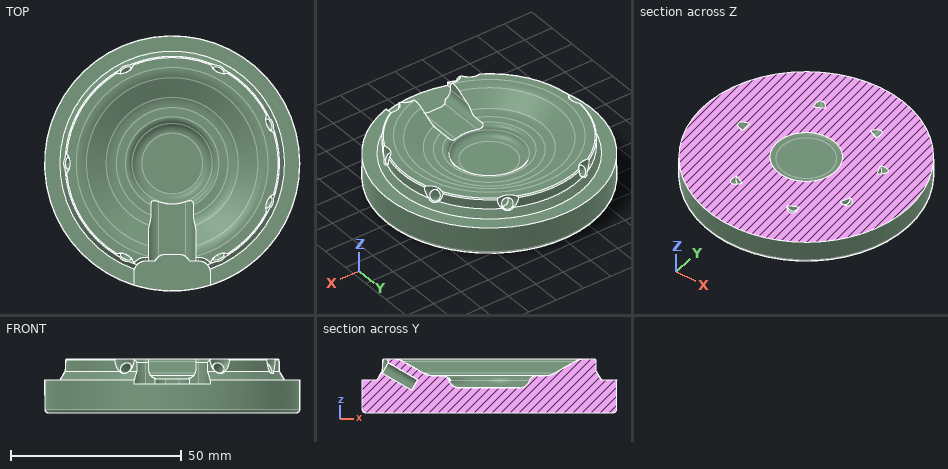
import cadquery as cq
import math

BASE_RADIUS = 37.5
BASE_HEIGHT = 9.75
BASE_EDGE_ROUND = 1.1

TOTAL_HEIGHT = 16.0
FOOT_RADIUS = 33.0
RING_RADIUS = 31.5
FOOT_TOP = 12.3
RING_CHAMFER = 0.4

BOWL_RADIUS = 28.2
BOWL_FLOOR_RADIUS = 16.4
BOWL_ROUND = 6.0
BOWL_SLOPE = math.radians(30)

POCKET_RADIUS = 13.7
POCKET_FLOOR_RADIUS = 8.9
POCKET_LIP_ROUND = 2.0
POCKET_FLOOR_ROUND = 3.0

NOTCH_HALF_WIDTH = 11.25
NOTCH_BACK = 28.65
NOTCH_FLOOR = 8.6
NOTCH_CORNER = 3.45
NOTCH_CHAMFER = 1.05
CHAMFER_ANGLE = 45.0
RECESS_HALF_WIDTH = 5.4
RECESS_BACK = 26.7
CHANNEL_HALF_WIDTH = 7.0
CHANNEL_FLOOR = 10.0
CHANNEL_ROUND = 3.0

HOLE_ANGLES = (-116.5, -63.5, -22, 22, 63.5, 116.5, 180)
HOLE_RADIUS = 1.7
HOLE_DEPTH = 10.0
HOLE_TILT = 30.0
HOLE_CENTRE_RADIUS = 30.5
HOLE_CENTRE_HEIGHT = 13.3
SINK_LENGTH = 4.5
SINK_HALF_ANGLE = math.radians(45)


def make_body():
    """Disc and ring as one turned solid."""
    profile = (
        cq.Workplane("XZ")
        .lineTo(BASE_RADIUS, 0)
        .lineTo(BASE_RADIUS, BASE_HEIGHT)
        .lineTo(FOOT_RADIUS, BASE_HEIGHT)
        .lineTo(RING_RADIUS, FOOT_TOP)
        .lineTo(RING_RADIUS, TOTAL_HEIGHT - RING_CHAMFER)
        .lineTo(RING_RADIUS - RING_CHAMFER, TOTAL_HEIGHT)
        .lineTo(0, TOTAL_HEIGHT)
        .close()
    )
    body = profile.revolve(360, (0, 0), (0, 1))
    return body.faces("<Z").edges().fillet(BASE_EDGE_ROUND)


def arc_point(centre, radius, angle):
    """Point on a circle, with the angle measured from straight up."""
    return (centre[0] + radius * math.sin(angle), centre[1] + radius * math.cos(angle))


def make_bowl():
    """Turned cutter for the bowl and the round pocket below it."""
    tangent = BOWL_ROUND * math.tan(BOWL_SLOPE / 2)
    cone_run = BOWL_RADIUS - BOWL_FLOOR_RADIUS - 2 * tangent
    floor = TOTAL_HEIGHT - cone_run * math.tan(BOWL_SLOPE)
    rim = (BOWL_RADIUS, TOTAL_HEIGHT - BOWL_ROUND)
    heel = (BOWL_FLOOR_RADIUS, floor + BOWL_ROUND)

    round_sum = POCKET_LIP_ROUND + POCKET_FLOOR_ROUND
    steepest = math.asin((POCKET_RADIUS - POCKET_FLOOR_RADIUS) / round_sum)
    pocket_floor = floor - round_sum * (1 - math.cos(steepest))
    lip = (POCKET_RADIUS, floor - POCKET_LIP_ROUND)
    toe = (POCKET_FLOOR_RADIUS, pocket_floor + POCKET_FLOOR_ROUND)

    profile = (
        cq.Workplane("XZ")
        .moveTo(0, pocket_floor)
        .lineTo(POCKET_FLOOR_RADIUS, pocket_floor)
        .threePointArc(
            arc_point(toe, POCKET_FLOOR_ROUND, math.pi - steepest / 2),
            arc_point(toe, POCKET_FLOOR_ROUND, math.pi - steepest),
        )
        .threePointArc(
            arc_point(lip, POCKET_LIP_ROUND, -steepest / 2),
            (POCKET_RADIUS, floor),
        )
        .lineTo(BOWL_FLOOR_RADIUS, floor)
        .threePointArc(
            arc_point(heel, BOWL_ROUND, math.pi - BOWL_SLOPE / 2),
            arc_point(heel, BOWL_ROUND, math.pi - BOWL_SLOPE),
        )
        .lineTo(*arc_point(rim, BOWL_ROUND, -BOWL_SLOPE))
        .threePointArc(
            arc_point(rim, BOWL_ROUND, -BOWL_SLOPE / 2),
            (BOWL_RADIUS, TOTAL_HEIGHT),
        )
        .lineTo(0, TOTAL_HEIGHT)
        .close()
    )
    return profile.revolve(360, (0, 0), (0, 1))


def make_opening(half_width, back):
    """Block reaching out to the -Y rim, with its two inner vertical corners rounded."""
    length = BASE_RADIUS - back
    return (
        cq.Workplane("XY", origin=(0, -back - length / 2, NOTCH_FLOOR))
        .rect(2 * half_width, length)
        .extrude(TOTAL_HEIGHT - NOTCH_FLOOR)
        .edges("|Z and >Y")
        .fillet(NOTCH_CORNER)
    )


def make_notch():
    """Notch with chamfered top edges and a narrower recess behind it."""
    notch = make_opening(NOTCH_HALF_WIDTH, NOTCH_BACK)
    wall_top = TOTAL_HEIGHT - NOTCH_CHAMFER
    flare = (
        cq.Workplane("XY", origin=(0, 0, wall_top))
        .add(notch.faces("<Z").wires().translate((0, 0, wall_top - NOTCH_FLOOR)))
        .toPending()
        .extrude(NOTCH_CHAMFER, taper=-CHAMFER_ANGLE)
    )
    recess = make_opening(RECESS_HALF_WIDTH, RECESS_BACK)
    return notch.union(recess).union(flare)


def make_channel():
    """Round-bottomed channel running from the middle of the part to the notch."""
    return (
        cq.Workplane("XY", origin=(0, -NOTCH_BACK / 2, CHANNEL_FLOOR))
        .rect(2 * CHANNEL_HALF_WIDTH, NOTCH_BACK)
        .extrude(TOTAL_HEIGHT - CHANNEL_FLOOR)
        .edges("|Y and <Z")
        .fillet(CHANNEL_ROUND)
    )


def make_hole(angle):
    """Blind hole with a conical mouth, pointing inward and down."""
    mouth_radius = HOLE_RADIUS + SINK_LENGTH * math.tan(SINK_HALF_ANGLE)
    profile = (
        cq.Workplane("XZ")
        .moveTo(0, -HOLE_DEPTH)
        .lineTo(HOLE_RADIUS, -HOLE_DEPTH)
        .lineTo(HOLE_RADIUS, 0)
        .lineTo(mouth_radius, SINK_LENGTH)
        .lineTo(0, SINK_LENGTH)
        .close()
    )
    return (
        profile.revolve(360, (0, 0), (0, 1))
        .rotate((0, 0, 0), (0, 1, 0), 90 - HOLE_TILT)
        .translate((HOLE_CENTRE_RADIUS, 0, HOLE_CENTRE_HEIGHT))
        .rotate((0, 0, 0), (0, 0, 1), angle)
    )


result = make_body().cut(make_bowl()).cut(make_channel()).cut(make_notch())
for hole_angle in HOLE_ANGLES:
    result = result.cut(make_hole(hole_angle))